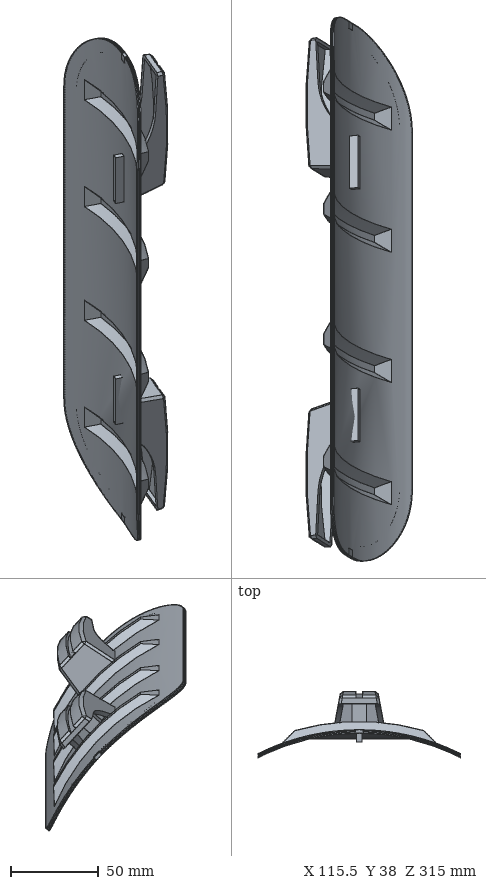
import cadquery as cq


LENGTH = 315.0
WIDTH = 115.5
CORNER_RADIUS = 52.0
THICKNESS = 2.02
BACK_RADIUS = 128.2
FRONT_RADIUS = BACK_RADIUS - THICKNESS

GROOVE_DEPTH = 8.2
GROOVE_WIDTH = THICKNESS / 3

LOUVRE_Z = (38.5, 110.5)
LOUVRE_RISE = 4.7
MOUTH_HEIGHT = 13.5
SHELL_HEIGHT = 15.5
MOUTH_HALF_LENGTH = 33.0
SHELL_HALF_LENGTH = 36.2

BAR_WIDTH = 3.0
BAR_HEIGHT = 31.0
BAR_PROUD = 5.0
BAR_Z = 74.5

TAB_WIDTH = 4.7
TAB_HEIGHT = 4.0

CLIP_ROOT_Y = -3.0
CLIP_FOOT_Z = 67.5
CLIP_HEEL_Y = 20.0
CLIP_HEEL_Z = 71.2
CLIP_CREST_Y = 22.0
CLIP_CREST_Z = 106.8
CLIP_TIP_Z = 147.7
CLIP_TIP_BACK_Y = 19.5
CLIP_TIP_FRONT_Y = 14.8
ARM_ROOT_Y = 13.2
ARM_ROOT_Z = 121.3
THROAT_Y = 8.8
THROAT_Z = 105.8
NECK_Y = 0.5
NECK_Z = 95.5
CLIP_BASE_WIDTH = 29.3
CLIP_CREST_WIDTH = 21.0
CLIP_BEVEL = 1.5
CLIP_WALL = 2.2
CLIP_SIDE_WALL = 2.8
BACK_SLOT_WIDTH = 3.8
BACK_SLOT_DEPTH = 1.5
TENON_WIDTH = 8.5
TENON_TOP_Z = 81.5
TENON_SKIN = GROOVE_WIDTH

CLEAR = 63.0


def cylinder(radius):
    """Solid cylinder about the axis of the plate's bow."""
    return cq.Workplane("XY").center(0, -BACK_RADIUS).circle(radius).extrude(LENGTH / 2, both=True)


def sheet(inner_radius, outer_radius):
    """Tube about the axis of the plate's bow."""
    return cylinder(outer_radius).cut(cylinder(inner_radius))


def block(width, height, z):
    """Box with the given size in X and Z, centred at z and long in Y."""
    return cq.Workplane("XZ").center(0, z).rect(width, height).extrude(CLEAR, both=True)


def outline(inset):
    """Prism along Y with the rounded outline of the plate, drawn in by inset."""
    prism = cq.Workplane("XZ").rect(WIDTH - 2 * inset, LENGTH - 2 * inset).extrude(CLEAR, both=True)
    return prism.edges("|Y").fillet(CORNER_RADIUS - inset)


def rim_groove():
    middle_radius = (FRONT_RADIUS + BACK_RADIUS) / 2
    layer = sheet(middle_radius - GROOVE_WIDTH / 2, middle_radius + GROOVE_WIDTH / 2)
    return layer.cut(outline(GROOVE_DEPTH))


def louvre_ridge(base_radius, base_height, half_length, z):
    """Bowed ridge that rises above base_radius, with sides and ends at 45 degrees."""
    half_height = base_height / 2
    base_y = base_radius - BACK_RADIUS
    top_y = base_y + LOUVRE_RISE
    root_y = base_y - half_height
    root_half = base_height
    top_half = half_height - LOUVRE_RISE
    ridge = (
        cq.Workplane("YZ")
        .polyline(
            [
                (root_y, z - root_half),
                (top_y, z - top_half),
                (top_y, z + top_half),
                (root_y, z + root_half),
            ]
        )
        .close()
        .revolve(360, (-BACK_RADIUS, 0), (-BACK_RADIUS, 1))
    )
    ends = (
        cq.Workplane("XY", origin=(0, 0, z))
        .polyline([(-half_length - CLEAR, -CLEAR), (half_length + CLEAR, -CLEAR), (0, half_length)])
        .close()
        .extrude(CLEAR, both=True)
    )
    return ridge.intersect(ends)


def add_louvre(plate, z):
    shell = louvre_ridge(BACK_RADIUS, SHELL_HEIGHT, SHELL_HALF_LENGTH, z).cut(cylinder(FRONT_RADIUS))
    mouth = louvre_ridge(FRONT_RADIUS, MOUTH_HEIGHT, MOUTH_HALF_LENGTH, z)
    return plate.union(shell).cut(mouth)


def make_plate(inserts):
    """Louvred plate with pockets for the bodies that are let into it."""
    plate = sheet(FRONT_RADIUS, BACK_RADIUS).intersect(outline(0)).cut(rim_groove())
    for z in LOUVRE_Z:
        plate = add_louvre(plate, z)
        plate = add_louvre(plate, -z)
    for insert in inserts:
        plate = plate.cut(insert)
    return plate


def make_bar(z):
    """Upright bar whose back follows the concave face."""
    depth = 2 * BAR_PROUD
    bar = cq.Workplane("XY", origin=(0, -THICKNESS, z)).box(BAR_WIDTH, depth, BAR_HEIGHT)
    return bar.intersect(cylinder(FRONT_RADIUS))


def make_tab(z):
    """Tab flush with both faces of the plate."""
    return block(TAB_WIDTH, TAB_HEIGHT, z).intersect(sheet(FRONT_RADIUS, BACK_RADIUS))


def clip_profile():
    """Side shape of the clip: underside, bowed back, tip, arm and throat."""
    return (
        cq.Workplane("YZ")
        .moveTo(CLIP_ROOT_Y, CLIP_FOOT_Z)
        .lineTo(CLIP_HEEL_Y, CLIP_HEEL_Z)
        .threePointArc((CLIP_CREST_Y, CLIP_CREST_Z), (CLIP_TIP_BACK_Y, CLIP_TIP_Z))
        .lineTo(CLIP_TIP_FRONT_Y, CLIP_TIP_Z)
        .lineTo(ARM_ROOT_Y, ARM_ROOT_Z)
        .threePointArc((THROAT_Y, THROAT_Z), (NECK_Y, NECK_Z))
        .lineTo(CLIP_ROOT_Y, NECK_Z)
        .close()
        .extrude(CLEAR, both=True)
    )


def clip_taper(inset):
    """Prism along Z that narrows toward the back, drawn in by inset on both sides."""
    lean = (CLIP_BASE_WIDTH - CLIP_CREST_WIDTH) / 2 / CLIP_CREST_Y
    back_y = CLIP_CREST_Y + 3.0
    front_half = CLIP_BASE_WIDTH / 2 - lean * CLIP_ROOT_Y - inset
    back_half = CLIP_BASE_WIDTH / 2 - lean * back_y - inset
    return (
        cq.Workplane("XY")
        .polyline(
            [
                (-front_half, CLIP_ROOT_Y),
                (front_half, CLIP_ROOT_Y),
                (back_half, back_y),
                (-back_half, back_y),
            ]
        )
        .close()
        .extrude(LENGTH / 2)
    )


def clip_cavity():
    """Hollow of the clip, open toward the plate and along the front of the arm."""
    return (
        cq.Workplane("YZ")
        .moveTo(CLIP_ROOT_Y, CLIP_FOOT_Z + CLIP_WALL)
        .lineTo(CLIP_HEEL_Y - CLIP_WALL, CLIP_HEEL_Z + CLIP_WALL)
        .threePointArc(
            (CLIP_CREST_Y - CLIP_WALL, CLIP_CREST_Z),
            (CLIP_TIP_BACK_Y - CLIP_WALL, CLIP_TIP_Z - CLIP_WALL),
        )
        .lineTo(CLIP_ROOT_Y, CLIP_TIP_Z - CLIP_WALL)
        .close()
        .extrude(CLEAR, both=True)
        .intersect(clip_taper(CLIP_SIDE_WALL))
    )


def clip_back_slot():
    """Shallow slot down the middle of the back that follows its bow."""
    return (
        cq.Workplane("YZ")
        .moveTo(CLIP_HEEL_Y - BACK_SLOT_DEPTH, CLIP_HEEL_Z)
        .threePointArc(
            (CLIP_CREST_Y - BACK_SLOT_DEPTH, CLIP_CREST_Z),
            (CLIP_TIP_BACK_Y - BACK_SLOT_DEPTH, CLIP_TIP_Z),
        )
        .lineTo(CLEAR, CLIP_TIP_Z)
        .lineTo(CLEAR, CLIP_HEEL_Z)
        .close()
        .extrude(BACK_SLOT_WIDTH / 2, both=True)
    )


def clip_tenon():
    """Block inside the heel of the clip that reaches into a pocket of the plate."""
    height = TENON_TOP_Z - CLIP_FOOT_Z
    tenon = block(TENON_WIDTH, height, CLIP_FOOT_Z + height / 2).intersect(clip_profile())
    return tenon.cut(clip_back_slot()).cut(cylinder(FRONT_RADIUS + TENON_SKIN))


def make_clip():
    """Upper clip: a bevelled, tapering shell that fits the convex face of the plate."""
    blank = clip_profile().intersect(clip_taper(0))
    tip_edges = blank.faces(">Z").edges("not <Y")
    back_and_underside_edges = blank.faces(">Y or <Z").edges()
    blank = back_and_underside_edges.add(tip_edges).chamfer(CLIP_BEVEL)
    shell = blank.cut(clip_cavity()).cut(clip_back_slot()).cut(cylinder(BACK_RADIUS))
    return shell.union(clip_tenon().intersect(blank))


bars = []
tabs = []
for side in (1, -1):
    bars.append(make_bar(side * BAR_Z))
    tabs.append(make_tab(side * (LENGTH - TAB_HEIGHT) / 2))

upper_clip = make_clip()
clips = [upper_clip, upper_clip.mirror("XY")]

plate = make_plate(tabs + clips)

result = cq.Compound.makeCompound(
    [
        plate.solids().val(),
        *[bar.solids().val() for bar in bars],
        *[tab.solids().val() for tab in tabs],
        *[clip.solids().val() for clip in clips],
    ]
)